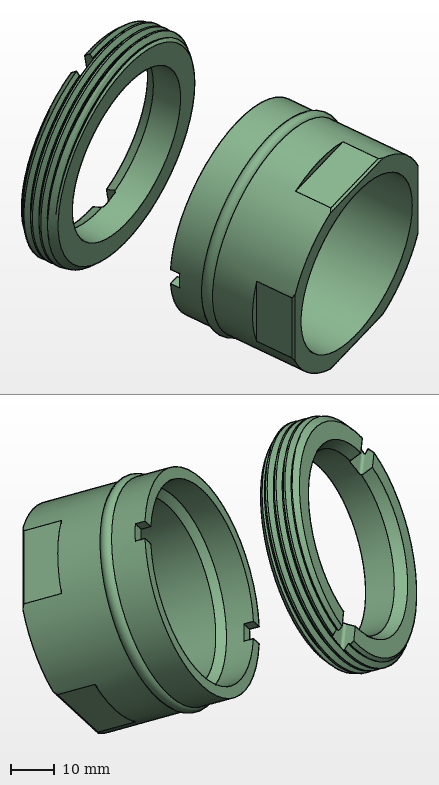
import cadquery as cq
import math

total_length = 73.2
ring_length = 10.1
sleeve_length = 32.8
sleeve_start = total_length - sleeve_length
cut_clearance = 1.45

thread_diameter = 59.4
four_turn_lead = 9.2
thread_pitch = four_turn_lead / 4
thread_depth = 1.45
thread_flank_angle = 27.5
groove_root_width = 0.3
groove_start = -1.1
groove_turns = 5
groove_overcut = 0.2
ring_end_diameter = 55.6
ring_bore = 44.0
ring_mouth_diameter = 47.0
ring_mouth_depth = 2.6
ring_slot_width = 5.55
ring_slot_depth = 2.9
ring_slot_fillet = 0.7
ring_slot_angle = 10.0

sleeve_diameter = 54.4
sleeve_bore = 45.2
counterbore_diameter = 48.8
counterbore_depth = 7.0
counterbore_taper = (counterbore_diameter - sleeve_bore) / 2
bead_diameter = 56.1
bead_width = 3.0
bead_centre = sleeve_start + 10.1
notch_width = 4.5
notch_depth = 2.5
flat_distance = 50.85
flat_length = 10.25
flat_count = 4
flat_chamfer_length = 0.6
flat_chamfer_drop = 0.45


def revolve_about_x(profile):
    """Revolve a profile drawn as (x, radius) around the X axis."""
    return profile.close().revolve(360, (0, 0, 0), (1, 0, 0))


def make_ring_blank():
    crest_radius = thread_diameter / 2
    end_radius = ring_end_diameter / 2
    chamfer = crest_radius - end_radius
    return revolve_about_x(
        cq.Workplane("XY")
        .moveTo(0, ring_mouth_diameter / 2)
        .lineTo(0, end_radius)
        .lineTo(chamfer, crest_radius)
        .lineTo(ring_length - chamfer, crest_radius)
        .lineTo(ring_length, end_radius)
        .lineTo(ring_length, ring_bore / 2)
        .lineTo(ring_mouth_depth, ring_bore / 2)
    )


def make_groove_turn():
    """One turn of the right-handed V groove, swept along Z and then turned onto the X axis."""
    root_radius = thread_diameter / 2 - thread_depth
    outer_radius = thread_diameter / 2 + groove_overcut
    root_half = groove_root_width / 2
    flank_spread = (outer_radius - root_radius) * math.tan(math.radians(thread_flank_angle))
    outer_half = root_half + flank_spread
    helix = cq.Wire.makeHelix(thread_pitch, thread_pitch, root_radius)
    groove = (
        cq.Workplane("XZ")
        .polyline([
            (root_radius, -root_half),
            (outer_radius, -outer_half),
            (outer_radius, outer_half),
            (root_radius, root_half),
        ])
        .close()
        .sweep(cq.Workplane(helix), isFrenet=True)
    )
    return groove.rotate((0, 0, 0), (0, 1, 0), 90).translate((groove_start, 0, 0))


def make_ring_slot():
    """Bar across the front face that cuts two opposite slots with rounded bottom corners."""
    return (
        cq.Workplane("XY")
        .box(2 * ring_slot_depth, ring_slot_width, thread_diameter + cut_clearance)
        .edges("|Z and >X")
        .fillet(ring_slot_fillet)
        .rotate((0, 0, 0), (1, 0, 0), ring_slot_angle)
    )


def make_threaded_ring():
    ring = make_ring_blank()
    groove_turn = make_groove_turn()
    for turn in range(groove_turns):
        ring = ring.cut(groove_turn.translate((turn * thread_pitch, 0, 0)))
    return ring.cut(make_ring_slot())


def make_sleeve_blank():
    outer_radius = sleeve_diameter / 2
    bead_start = bead_centre - bead_width / 2
    bead_end = bead_centre + bead_width / 2
    taper_start = sleeve_start + counterbore_depth
    return revolve_about_x(
        cq.Workplane("XY")
        .moveTo(sleeve_start, counterbore_diameter / 2)
        .lineTo(sleeve_start, outer_radius)
        .lineTo(bead_start, outer_radius)
        .threePointArc((bead_centre, bead_diameter / 2), (bead_end, outer_radius))
        .lineTo(total_length, outer_radius)
        .lineTo(total_length, sleeve_bore / 2)
        .lineTo(taper_start + counterbore_taper, sleeve_bore / 2)
        .lineTo(taper_start, counterbore_diameter / 2)
    )


def make_flat_cutter():
    """Material above the +Z flat, reaching lower along its chamfered end."""
    flat_height = flat_distance / 2
    top = sleeve_diameter / 2 + cut_clearance
    return (
        cq.Workplane("XZ")
        .polyline([
            (total_length - flat_length, top),
            (total_length - flat_length, flat_height),
            (total_length - flat_chamfer_length, flat_height),
            (total_length, flat_height - flat_chamfer_drop),
            (total_length, top),
        ])
        .close()
        .extrude(sleeve_diameter / 2, both=True)
    )


def make_sleeve():
    notch = cq.Workplane("XY").box(2 * notch_depth, sleeve_diameter + cut_clearance, notch_width)
    sleeve = make_sleeve_blank().cut(notch.translate((sleeve_start, 0, 0)))
    for index in range(flat_count):
        angle = index * 360 / flat_count
        sleeve = sleeve.cut(make_flat_cutter().rotate((0, 0, 0), (1, 0, 0), angle))
    return sleeve


threaded_ring = make_threaded_ring()
sleeve = make_sleeve()

result = cq.Compound.makeCompound([*threaded_ring.solids().vals(), *sleeve.solids().vals()])